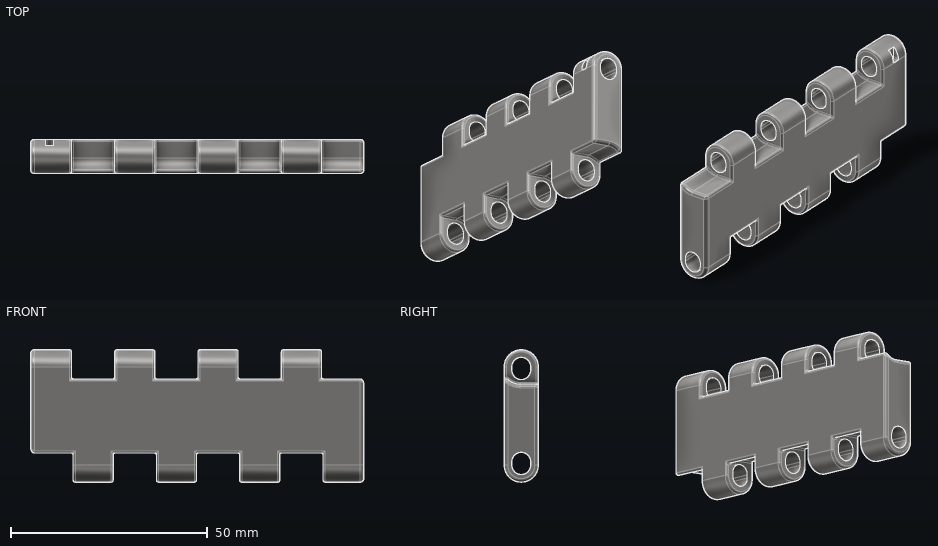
import cadquery as cq
import math

LENGTH = 84.7
THICKNESS = 8.7
HEIGHT = 33.7
END_RADIUS = THICKNESS / 2
HINGE_Z = HEIGHT / 2 - END_RADIUS

NOTCH_COUNT = 4
PITCH = LENGTH / NOTCH_COUNT
NOTCH_WIDTH = 10.9
FIRST_KNUCKLE_WIDTH = 10.4

SWING_RADIUS = 4.4
SWING_CENTRE_Y = -0.3
FLOOR_Z = HINGE_Z - SWING_RADIUS
FLOOR_CORNER_RADIUS = 0.4

PIN_SLOT_WIDTH = 4.75
PIN_SLOT_PLAY = 0.85

RIM_FILLET = 0.6
END_FILLET = 0.9

RECESS_START = 3.7
RECESS_WIDTH = 2.1
RECESS_DEPTH = 1.5
RECESS_FLOOR_FILLET = 0.4

OVERRUN = 4.2
CLEARANCE = 0.85
TOLERANCE = 0.01


def stadium_bar():
    """Bar with the rounded long edges, overlong at both ends."""
    overall = LENGTH + 2 * OVERRUN
    return (
        cq.Workplane("YZ", origin=(-overall / 2, 0, 0))
        .slot2D(HEIGHT, THICKNESS, angle=90)
        .extrude(overall)
    )


def top_notch(start, end):
    """Solid that clears one notch in the top edge between two X positions."""
    back_y = END_RADIUS + CLEARANCE
    top_z = HEIGHT / 2 + CLEARANCE
    arc_end_y = SWING_CENTRE_Y - SWING_RADIUS
    diagonal = SWING_RADIUS * math.sqrt(0.5)
    return (
        cq.Workplane("YZ", origin=(start, 0, 0))
        .moveTo(back_y, top_z)
        .lineTo(back_y, FLOOR_Z)
        .lineTo(SWING_CENTRE_Y, FLOOR_Z)
        .threePointArc((SWING_CENTRE_Y - diagonal, HINGE_Z - diagonal), (arc_end_y, HINGE_Z))
        .lineTo(arc_end_y, top_z)
        .close()
        .extrude(end - start)
    )


def cut_notches(body):
    """Cut the notches; the bottom edge is the top edge turned half a turn about Y."""
    for index in range(NOTCH_COUNT):
        start = -LENGTH / 2 + FIRST_KNUCKLE_WIDTH + index * PITCH
        end = start + NOTCH_WIDTH
        if index == NOTCH_COUNT - 1:
            end = LENGTH / 2 + OVERRUN + CLEARANCE
        notch = top_notch(start, end)
        body = body.cut(notch)
        body = body.cut(notch.rotate((0, 0, 0), (0, 1, 0), 180))
    return body


def is_knuckle_arc(edge):
    """True for the half circles around the knuckle sides."""
    inside_ends = abs(edge.Center().x) < LENGTH / 2
    return inside_ends and abs(edge.Center().z) > HINGE_Z


def is_notch_lip(edge):
    """True for the long edges where a notch floor meets the front or back face."""
    on_face = abs(abs(edge.Center().y) - END_RADIUS) < TOLERANCE
    return on_face and abs(edge.Center().z) < HINGE_Z - TOLERANCE


def is_floor_corner(edge):
    """True for the edges where the flat part of a notch floor meets a knuckle side."""
    inside_ends = abs(edge.Center().x) < LENGTH / 2
    on_floor = abs(abs(edge.Center().z) - FLOOR_Z) < TOLERANCE
    return inside_ends and on_floor


def round_notches(body):
    """Round the knuckle sides and notch lips, then the corners along the notch floors."""
    arcs = [edge for edge in body.edges("%CIRCLE").vals() if is_knuckle_arc(edge)]
    lips = [edge for edge in body.edges("|X").vals() if is_notch_lip(edge)]
    body = body.newObject(arcs + lips).fillet(RIM_FILLET)
    corners = [edge for edge in body.edges("|Y").vals() if is_floor_corner(edge)]
    return body.newObject(corners).fillet(FLOOR_CORNER_RADIUS)


def trim_and_round_ends(body):
    """Cut the bar to length and round the whole outline of both end faces."""
    body = body.intersect(cq.Workplane("XY").box(LENGTH, 2 * THICKNESS, 2 * HEIGHT))
    return body.faces("<X or >X").edges().fillet(END_FILLET)


def pin_slots():
    """Hinge pin slots running the full length of both knuckle rows."""
    slot_z = HINGE_Z - PIN_SLOT_PLAY / 2
    return (
        cq.Workplane("YZ", origin=(-LENGTH / 2, 0, 0))
        .pushPoints([(0, slot_z), (0, -slot_z)])
        .slot2D(PIN_SLOT_WIDTH + PIN_SLOT_PLAY, PIN_SLOT_WIDTH, angle=90)
        .extrude(LENGTH)
    )


def knuckle_recess():
    """Recess open to the back and top, with a round-cornered floor level with the hinge axis."""
    corner = (-LENGTH / 2 + RECESS_START, END_RADIUS - RECESS_DEPTH, HINGE_Z)
    return (
        cq.Workplane("XY", origin=corner)
        .box(RECESS_WIDTH, RECESS_DEPTH + CLEARANCE, END_RADIUS + CLEARANCE, centered=False)
        .edges("|Y and <Z")
        .fillet(RECESS_FLOOR_FILLET)
    )


link = cut_notches(stadium_bar())
link = round_notches(link)
link = trim_and_round_ends(link)
result = link.cut(pin_slots()).cut(knuckle_recess())